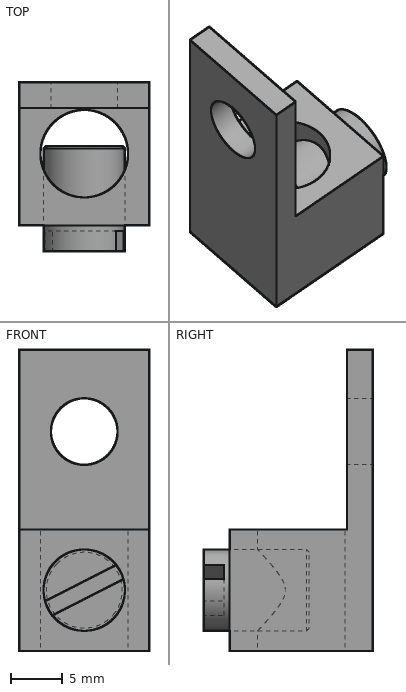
import cadquery as cq

width = 12.75
total_height = 29.5
block_height = 11.92
block_depth = 14.0
plate_thickness = 2.55
wire_bore_diameter = 8.55
wire_bore_from_back = 7.0
mount_hole_diameter = 6.5
mount_hole_height = 21.48

screw_diameter = 7.96
screw_projection = 2.55
screw_tip_from_back = 6.22
tip_chamfer = 0.27
slot_width = 1.55
slot_depth = 2.0
slot_angle = 27.0

wire_bore_y = block_depth - wire_bore_from_back
screw_height = block_height / 2
screw_length = block_depth - screw_tip_from_back + screw_projection


def cylinder_along_y(diameter, start_y, length, height):
    """Cylinder that starts at start_y and runs toward +Y, centred on the mid-plane."""
    base = cq.Workplane("XZ", origin=(0, start_y, height))
    return base.circle(diameter / 2).extrude(-length)


def make_housing():
    side_outline = [
        (0, 0),
        (block_depth, 0),
        (block_depth, total_height),
        (block_depth - plate_thickness, total_height),
        (block_depth - plate_thickness, block_height),
        (0, block_height),
    ]
    body = cq.Workplane("YZ").polyline(side_outline).close().extrude(width / 2, both=True)

    wire_bore = (
        cq.Workplane("XY", origin=(0, wire_bore_y, 0))
        .circle(wire_bore_diameter / 2)
        .extrude(block_height)
    )
    mount_hole = cylinder_along_y(
        mount_hole_diameter, block_depth - plate_thickness, plate_thickness, mount_hole_height
    )
    screw_hole = cylinder_along_y(screw_diameter, 0, wire_bore_y, screw_height)
    return body.cut(wire_bore).cut(mount_hole).cut(screw_hole)


def make_screw():
    shank = cylinder_along_y(screw_diameter, -screw_projection, screw_length, screw_height)
    shank = shank.faces(">Y").chamfer(tip_chamfer)

    slot_centre_y = -screw_projection + slot_depth / 2
    slot = (
        cq.Workplane("XY")
        .box(2 * screw_diameter, slot_depth, slot_width)
        .rotate((0, 0, 0), (0, 1, 0), -slot_angle)
        .translate((0, slot_centre_y, screw_height))
    )
    return shank.cut(slot)


housing = make_housing()
clamping_screw = make_screw()

result = cq.Compound.makeCompound([housing.val(), clamping_screw.val()])